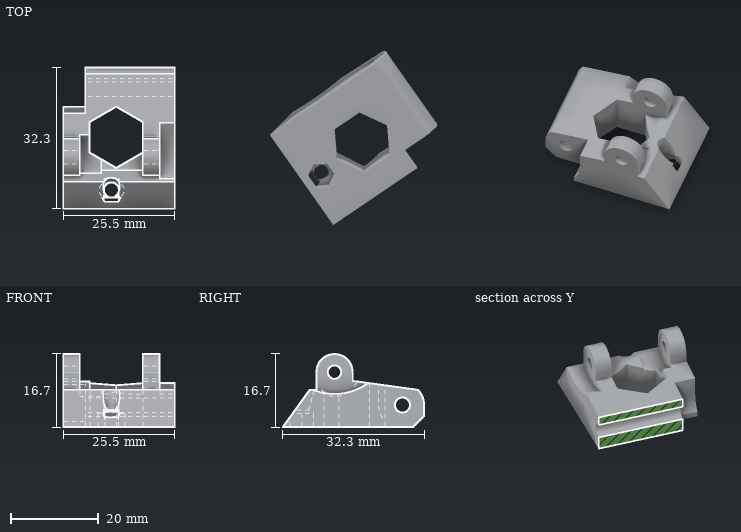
import cadquery as cq
import math

WIDTH = 25.5
LENGTH = 32.33
HEIGHT = 16.7
SHELF_Z = 8.55
SHELF_FRONT_Y = 6.18
CHAMFER = 2.52

LUG_THICKNESS = 3.85
LUG_RADIUS = 4.17
LUG_HOLE_DIAMETER = 3.0
LUG_Y = 11.83
LUG_Z = HEIGHT - LUG_RADIUS
RIGHT_LUG_X = 18.17
RIGHT_LUG_END_X = RIGHT_LUG_X + LUG_THICKNESS
DECK_FRONT_Y = 16.55
DECK_FRONT_Z = 10.5

KNUCKLE_Y = 27.35
KNUCKLE_Z = 5.05
KNUCKLE_RADIUS = LENGTH - KNUCKLE_Y
KNUCKLE_HOLE_DIAMETER = 3.4
CORNER_WIDTH = 5.05
CORNER_RADIUS = 5.5
CORNER_FOOT_Y = 23.3

HEX_ACROSS_FLATS = 12.1
HEX_X = RIGHT_LUG_X - HEX_ACROSS_FLATS / 2
HEX_Y = 16.33

WIDE_RELIEF_RADIUS = 5.5
NARROW_RELIEF_RADIUS = 5.05
RELIEF_STEP_X = 8.75
SIDE_RELIEF_RADIUS = 13.25
SIDE_RELIEF_Z = 20.82

BORE_X = 11.02
BORE_DIAMETER = 3.4
BORE_Y = 4.3
BORE_TAPER_Z = 4.35
BORE_MOUTH_DIAMETER = 4.07
BORE_MOUTH_Y = 5.1

NUT_ACROSS_FLATS = 5.37
NUT_ROOF_Z = 3.15
STEP_HEIGHT = 0.4


def rod(radius, y, z, x_start, x_end):
    """Cylinder parallel to X."""
    disc = cq.Workplane("YZ", origin=(x_start, 0, 0)).center(y, z).circle(radius)
    return disc.extrude(x_end - x_start)


def make_body():
    deck_back_y = KNUCKLE_Y + math.sqrt(KNUCKLE_RADIUS**2 - (SHELF_Z - KNUCKLE_Z) ** 2)
    half_angle = math.atan2(SHELF_Z - KNUCKLE_Z, deck_back_y - KNUCKLE_Y) / 2
    arc_middle = (
        KNUCKLE_Y + KNUCKLE_RADIUS * math.cos(half_angle),
        KNUCKLE_Z + KNUCKLE_RADIUS * math.sin(half_angle),
    )
    return (
        cq.Workplane("YZ")
        .moveTo(0, 0)
        .lineTo(SHELF_FRONT_Y, SHELF_Z)
        .lineTo(LUG_Y, SHELF_Z)
        .lineTo(LUG_Y, DECK_FRONT_Z)
        .lineTo(DECK_FRONT_Y, DECK_FRONT_Z)
        .lineTo(deck_back_y, SHELF_Z)
        .threePointArc(arc_middle, (LENGTH, KNUCKLE_Z))
        .lineTo(LENGTH, CHAMFER)
        .lineTo(LENGTH - CHAMFER, 0)
        .close()
        .extrude(WIDTH)
    )


def make_lug(x_start):
    shank = cq.Workplane("XY").box(LUG_THICKNESS, 2 * LUG_RADIUS, LUG_Z - SHELF_Z, centered=False)
    shank = shank.translate((x_start, LUG_Y - LUG_RADIUS, SHELF_Z))
    x_end = x_start + LUG_THICKNESS
    return shank.union(rod(LUG_RADIUS, LUG_Y, LUG_Z, x_start, x_end))


def make_corner_cut():
    """Space beside the knuckle, with a wall concentric with the knuckle hole."""
    wall_y = KNUCKLE_Y - CORNER_RADIUS
    foot_z = KNUCKLE_Z - math.sqrt(CORNER_RADIUS**2 - (KNUCKLE_Y - CORNER_FOOT_Y) ** 2)
    half_angle = math.atan2(KNUCKLE_Z - foot_z, KNUCKLE_Y - CORNER_FOOT_Y) / 2
    arc_middle = (
        KNUCKLE_Y - CORNER_RADIUS * math.cos(half_angle),
        KNUCKLE_Z - CORNER_RADIUS * math.sin(half_angle),
    )
    return (
        cq.Workplane("YZ")
        .moveTo(CORNER_FOOT_Y, 0)
        .lineTo(CORNER_FOOT_Y, foot_z)
        .threePointArc(arc_middle, (wall_y, KNUCKLE_Z))
        .lineTo(wall_y, HEIGHT)
        .lineTo(LENGTH, HEIGHT)
        .lineTo(LENGTH, 0)
        .close()
        .extrude(CORNER_WIDTH)
    )


def make_hex_window():
    across_corners = HEX_ACROSS_FLATS / math.cos(math.pi / 6)
    hexagon = cq.Workplane("XY").polygon(6, across_corners).extrude(HEIGHT)
    return hexagon.rotate((0, 0, 0), (0, 0, 1), 30).translate((HEX_X, HEX_Y, 0))


def make_bore():
    straight = cq.Workplane("XY").center(BORE_X, BORE_Y).circle(BORE_DIAMETER / 2).extrude(BORE_TAPER_Z)
    taper = (
        cq.Workplane("XY", origin=(BORE_X, BORE_Y, BORE_TAPER_Z))
        .circle(BORE_DIAMETER / 2)
        .workplane(offset=SHELF_Z - BORE_TAPER_Z)
        .center(0, BORE_MOUTH_Y - BORE_Y)
        .circle(BORE_MOUTH_DIAMETER / 2)
        .loft(ruled=True)
    )
    return straight.union(taper)


def make_nut_pocket():
    """Hexagon with flats facing Y, then a crosswise slot, then a square around the bore."""
    across_corners = NUT_ACROSS_FLATS / math.cos(math.pi / 6)
    axis = cq.Workplane("XY").center(BORE_X, BORE_Y)
    hexagon = axis.polygon(6, across_corners).extrude(NUT_ROOF_Z)
    slot = axis.workplane(offset=NUT_ROOF_Z).rect(BORE_DIAMETER, NUT_ACROSS_FLATS).extrude(STEP_HEIGHT)
    square = axis.rect(BORE_DIAMETER, BORE_DIAMETER).extrude(NUT_ROOF_Z + 2 * STEP_HEIGHT)
    return hexagon.union(slot).union(square)


body = make_body()
body = body.cut(rod(WIDE_RELIEF_RADIUS, LUG_Y, LUG_Z, LUG_THICKNESS, RELIEF_STEP_X))
body = body.cut(rod(NARROW_RELIEF_RADIUS, LUG_Y, LUG_Z, RELIEF_STEP_X, RIGHT_LUG_X))
body = body.cut(rod(SIDE_RELIEF_RADIUS, LUG_Y, SIDE_RELIEF_Z, RIGHT_LUG_END_X, WIDTH))
body = body.cut(make_hex_window()).cut(make_corner_cut())
for lug_x in (0, RIGHT_LUG_X):
    body = body.union(make_lug(lug_x))

body = body.cut(rod(LUG_HOLE_DIAMETER / 2, LUG_Y, LUG_Z, 0, WIDTH))
body = body.cut(rod(KNUCKLE_HOLE_DIAMETER / 2, KNUCKLE_Y, KNUCKLE_Z, 0, WIDTH))
result = body.cut(make_bore()).cut(make_nut_pocket())